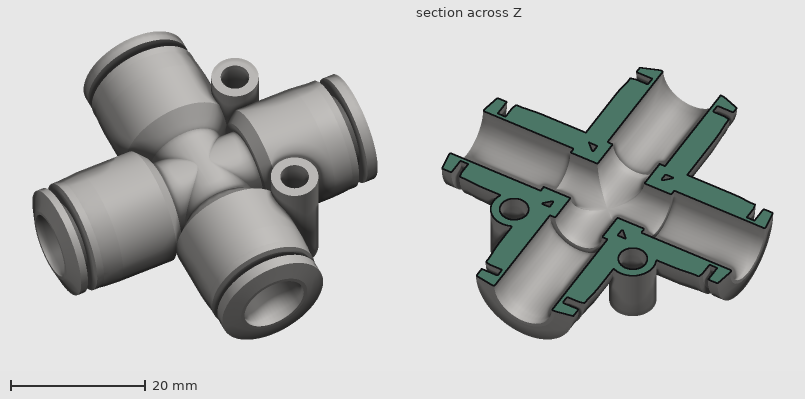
import cadquery as cq

reach_x = 48.4 / 2
reach_y = 50.7 / 2

core_radius_x = 6.0
core_radius_y = 5.9

body_radius = 17.5 / 2
mouth_radius = 8.5
mouth_rim_radius = 7.65
mouth_cone = 0.2
mouth_length = 1.3
body_to_tip = 3.45
barrel_to_tip = 7.8

shoulder_x = 8.8
shoulder_y = 8.65
chamfer_x = body_radius - core_radius_x
chamfer_y = 1.5

neck_radius = 5.65
ring_radius = 8.35
ring_lip_radius = 5.45
ring_to_tip = 2.2
ring_cone = 0.5
front_ring_cone = 1.05

passage_radius = 4.0
socket_radius = 4.9
socket_floor = shoulder_y

lug_offset = 10.2
lug_radius = 3.55
lug_hole_radius = 2.15
lug_height = 2 * body_radius


def rod(radius, start, end):
    """Cylinder along +X."""
    return cq.Workplane("YZ", origin=(start, 0, 0)).circle(radius).extrude(end - start)


def make_body(reach, shoulder, chamfer):
    """Arm body along +X, from its inner shoulder to its mouth."""
    inner_face = shoulder - chamfer
    body_end = reach - body_to_tip
    return (
        cq.Workplane("XY")
        .moveTo(inner_face, 0)
        .lineTo(inner_face, body_radius - chamfer)
        .lineTo(shoulder, body_radius)
        .lineTo(reach - barrel_to_tip, body_radius)
        .tangentArcPoint((body_end - mouth_length, mouth_radius), relative=False)
        .lineTo(body_end - mouth_cone, mouth_radius)
        .lineTo(body_end, mouth_rim_radius)
        .lineTo(body_end, 0)
        .close()
        .revolve(360, (0, 0, 0), (1, 0, 0))
    )


def make_ring(reach, cone):
    """Release ring along +X: a neck that carries a flange with a conical tip."""
    ring_start = reach - ring_to_tip
    flange = (
        cq.Workplane("XY")
        .moveTo(ring_start, 0)
        .lineTo(ring_start, ring_radius)
        .lineTo(reach - cone, ring_radius)
        .lineTo(reach, ring_lip_radius)
        .lineTo(reach, 0)
        .close()
        .revolve(360, (0, 0, 0), (1, 0, 0))
    )
    return flange.union(rod(neck_radius, reach - body_to_tip, ring_start))


def make_arm(reach, core_radius, shoulder, chamfer, cone):
    """Solid arm along +X, from the centre of the cross to the ring tip."""
    core = rod(core_radius, 0, shoulder - chamfer)
    return core.union(make_body(reach, shoulder, chamfer)).union(make_ring(reach, cone))


def make_bore(reach):
    """Stepped bore along +X: a narrow passage that opens into the tube socket."""
    return rod(passage_radius, 0, reach).union(rod(socket_radius, socket_floor, reach))


def turn(shape, angle):
    """Turn a shape about the Z axis."""
    return shape.rotate((0, 0, 0), (0, 0, 1), angle)


side_arm = make_arm(reach_x, core_radius_x, shoulder_x, chamfer_x, ring_cone)
back_arm = make_arm(reach_y, core_radius_y, shoulder_y, chamfer_y, ring_cone)
front_arm = make_arm(reach_y, core_radius_y, shoulder_y, chamfer_y, front_ring_cone)

result = side_arm.union(turn(side_arm, 180))
result = result.union(turn(back_arm, 90)).union(turn(front_arm, 270))

lug_plane = cq.Workplane("XY", origin=(0, 0, -lug_height / 2))
lug_places = [(-lug_offset, lug_offset), (lug_offset, lug_offset)]
lugs = lug_plane.pushPoints(lug_places).circle(lug_radius).extrude(lug_height)
lug_holes = lug_plane.pushPoints(lug_places).circle(lug_hole_radius).extrude(lug_height)
result = result.union(lugs).cut(lug_holes)

for angle, reach in ((0, reach_x), (90, reach_y), (180, reach_x), (270, reach_y)):
    result = result.cut(turn(make_bore(reach), angle))
result = result.solids()